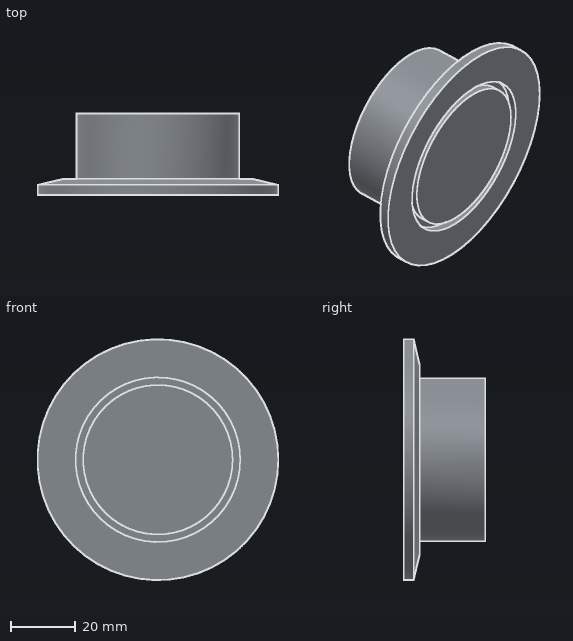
import cadquery as cq

total_length = 25.4
flange_diameter = 75
rim_thickness = 3.15
flange_thickness = 5.0
flange_back_diameter = 59.25
stub_diameter = 50.8

groove_outer_diameter = 51.2
groove_inner_diameter = 46.5
groove_depth = 2.6

front_y = 0
back_y = front_y + total_length


def make_body():
    """Revolve the flange, its tapered back and the cylindrical stub."""
    profile = (
        cq.Workplane("XY")
        .moveTo(0, front_y)
        .lineTo(flange_diameter / 2, front_y)
        .lineTo(flange_diameter / 2, front_y + rim_thickness)
        .lineTo(flange_back_diameter / 2, front_y + flange_thickness)
        .lineTo(stub_diameter / 2, front_y + flange_thickness)
        .lineTo(stub_diameter / 2, back_y)
        .lineTo(0, back_y)
        .close()
    )
    return profile.revolve(360, (0, 0, 0), (0, 1, 0))


def make_groove():
    """Ring cutter running from the front face into the flange."""
    return (
        cq.Workplane("XZ", origin=(0, front_y, 0))
        .circle(groove_outer_diameter / 2)
        .circle(groove_inner_diameter / 2)
        .extrude(-groove_depth)
    )


result = make_body().cut(make_groove())